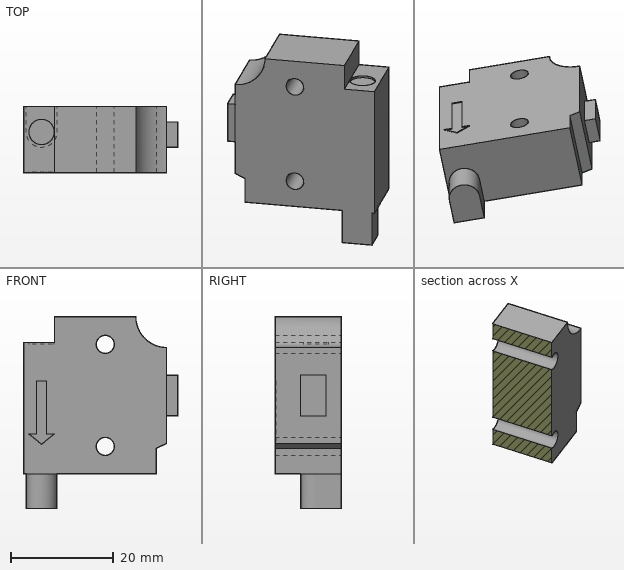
import cadquery as cq

total_height = 37.6
total_width = 30.2
depth = 13.0

body_width = 28.0
body_bottom = 6.8
step_width = 6.0
step_drop = 5.0
scoop_radius = 6.0
notch_width = 2.0
notch_top = 12.75
notch_shoulder = 11.8

hole_diameter = 3.5
hole_x = 15.98
lower_hole_z = 12.2
hole_spacing = 20.0

boot_x = 3.5
boot_y = 8.0
boot_radius = 3.0
recess_radius = 2.5
recess_depth = 0.38

tab_front = 5.0
tab_depth = 5.0
tab_bottom = 18.15
tab_height = 7.97

arrow_tip_z = 12.6
arrow_head_height = 2.05
arrow_length = 12.45
arrow_head_width = 5.05
arrow_shaft_width = 2.0
arrow_depth = 0.2

step_z = total_height - step_drop


def front_plane():
    """Workplane on the front face, X right and Z up, with its normal toward -Y."""
    return cq.Workplane("XZ")


def make_body():
    notch_x = body_width - notch_width
    outline = (
        front_plane()
        .moveTo(0, body_bottom)
        .lineTo(notch_x, body_bottom)
        .lineTo(notch_x, notch_shoulder)
        .lineTo(body_width, notch_top)
        .lineTo(body_width, total_height)
        .lineTo(step_width, total_height)
        .lineTo(step_width, step_z)
        .lineTo(0, step_z)
        .close()
    )
    scoop = front_plane().center(body_width, total_height).circle(scoop_radius).extrude(-depth)
    return outline.extrude(-depth).cut(scoop)


def make_holes():
    centers = [(hole_x, lower_hole_z), (hole_x, lower_hole_z + hole_spacing)]
    return front_plane().pushPoints(centers).circle(hole_diameter / 2).extrude(-depth)


def make_boot():
    """Boot with a rounded front and flat sides that run to the back face."""
    left = boot_x - boot_radius
    right = boot_x + boot_radius
    return (
        cq.Workplane("XY")
        .moveTo(left, depth)
        .lineTo(left, boot_y)
        .threePointArc((boot_x, boot_y - boot_radius), (right, boot_y))
        .lineTo(right, depth)
        .close()
        .extrude(body_bottom)
    )


def make_tab():
    return cq.Workplane(
        "XY", origin=(body_width, tab_front, tab_bottom)
    ).box(total_width - body_width, tab_depth, tab_height, centered=False)


def make_recess():
    return (
        cq.Workplane("XY", origin=(boot_x, boot_y, step_z))
        .circle(recess_radius)
        .extrude(-recess_depth)
    )


def make_arrow():
    half_head = arrow_head_width / 2
    half_shaft = arrow_shaft_width / 2
    points = [
        (0, 0),
        (half_head, arrow_head_height),
        (half_shaft, arrow_head_height),
        (half_shaft, arrow_length),
        (-half_shaft, arrow_length),
        (-half_shaft, arrow_head_height),
        (-half_head, arrow_head_height),
    ]
    return front_plane().center(boot_x, arrow_tip_z).polyline(points).close().extrude(-arrow_depth)


result = (
    make_body()
    .union(make_boot())
    .union(make_tab())
    .cut(make_holes())
    .cut(make_recess())
    .cut(make_arrow())
)